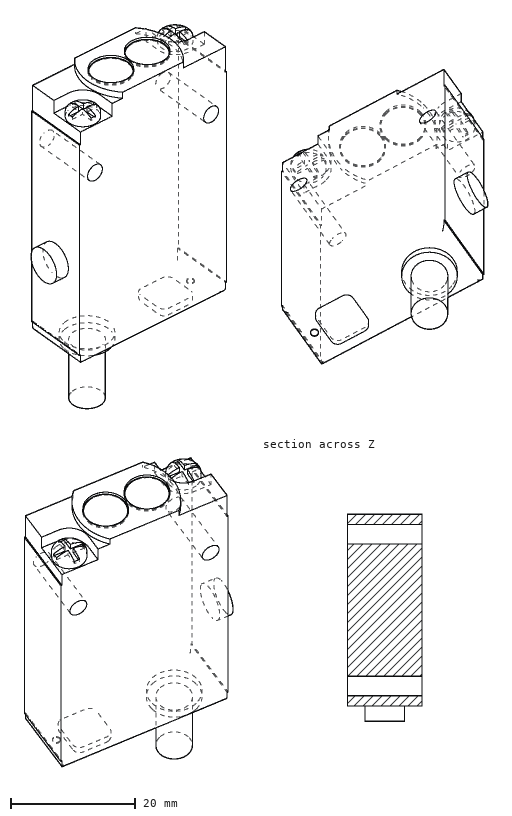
import cadquery as cq

TOTAL_HEIGHT = 63.4
WINDOW_RAISE = 1.2
SHOULDER_Z = TOTAL_HEIGHT - WINDOW_RAISE
COVER_SEAM_Z = 57.1
BASE_SEAM_Z = 15.0
BODY_BOTTOM_Z = 13.1

BODY_WIDTH = 12.0
SLEEVE_LENGTH = 30.8
SLEEVE_STEP = 0.2
CORE_LENGTH = SLEEVE_LENGTH - 2 * SLEEVE_STEP
BASE_FILLET = 0.75

WINDOW_DIAMETER = 17.5
LENS_DIAMETER = 7.35
LENS_SPACING = 7.6
LENS_DEPTH = 0.3
LENS_GAP = 0.1
LENS_GAP_DEPTH = 0.2

FIXING_HOLE_DIAMETER = 3.1
FIXING_HOLE_SPACING = 24.35
FIXING_HOLE_Z = 50.1

SCREW_X = 3.0
SCREW_Y = 12.2
POCKET_SIZE = 6.65
POCKET_DEPTH = 2.55
POCKET_FLOOR_Z = SHOULDER_Z - POCKET_DEPTH
POCKET_CORNER_RADIUS = 3.55
HEAD_RADIUS = 2.85
HEAD_HEIGHT = 2.0
HEAD_RIM_HEIGHT = 1.2
HEAD_RIM_FILLET = 0.5
SLOT_WIDTH = 0.95
SLOT_DEPTH = 1.15
SLOT_LENGTH = 5.2

BUTTON_DIAMETER = 6.4
BUTTON_Z = 30.8
BUTTON_LENGTH = 2.5

CABLE_Y = -8.8
CABLE_DIAMETER = 5.9
GLAND_DIAMETER = 8.95
GLAND_HEIGHT = 1.4
PLUG_Y = 7.7
PLUG_SIZE = 6.9
PLUG_HEIGHT = 1.8
PLUG_CORNER_RADIUS = 1.25
PLUG_EDGE_FILLET = 0.8
STUD_Y = 12.85
STUD_DIAMETER = 1.25
STUD_HEIGHT = 0.2

SCREW_CORNERS = [(-1, 1), (1, -1)]


def slab(length, bottom, top):
    """Full-width rectangular block between two heights."""
    return (
        cq.Workplane("XY", origin=(0, 0, bottom))
        .rect(BODY_WIDTH, length)
        .extrude(top - bottom)
    )


def hanging_cylinder(y, diameter, height):
    """Cylinder hanging down from the underside of the housing."""
    return (
        cq.Workplane("XY", origin=(0, y, BODY_BOTTOM_Z))
        .circle(diameter / 2)
        .extrude(-height)
    )


def make_case():
    """Rounded core with a slightly longer sleeve around its middle."""
    core = slab(CORE_LENGTH, BODY_BOTTOM_Z, SHOULDER_Z).faces("<Z").edges().fillet(BASE_FILLET)
    return core.union(slab(SLEEVE_LENGTH, BASE_SEAM_Z, COVER_SEAM_Z))


def make_pocket(x_sign, y_sign):
    """Corner pocket, open on two sides, with its inner corner rounded."""
    center_x = x_sign * (BODY_WIDTH - POCKET_SIZE) / 2
    center_y = y_sign * (CORE_LENGTH - POCKET_SIZE) / 2
    inner_corner = cq.selectors.NearestToPointSelector((0, 0, POCKET_FLOOR_Z + POCKET_DEPTH / 2))
    return (
        cq.Workplane("XY", origin=(center_x, center_y, POCKET_FLOOR_Z))
        .rect(POCKET_SIZE, POCKET_SIZE)
        .extrude(POCKET_DEPTH)
        .edges("|Z")
        .edges(inner_corner)
        .fillet(POCKET_CORNER_RADIUS)
    )


def make_window():
    """Round raised window trimmed to the housing width, with two lenses sunk below its top."""
    window = (
        cq.Workplane("XY", origin=(0, 0, SHOULDER_Z))
        .circle(WINDOW_DIAMETER / 2)
        .extrude(WINDOW_RAISE)
        .intersect(slab(SLEEVE_LENGTH, SHOULDER_Z, TOTAL_HEIGHT))
    )
    for y_sign in (-1, 1):
        lens_y = y_sign * LENS_SPACING / 2
        recess = (
            cq.Workplane("XY", origin=(0, lens_y, TOTAL_HEIGHT))
            .circle(LENS_DIAMETER / 2)
            .extrude(-LENS_DEPTH)
        )
        gap = (
            cq.Workplane("XY", origin=(0, lens_y, TOTAL_HEIGHT - LENS_DEPTH))
            .circle(LENS_DIAMETER / 2)
            .circle(LENS_DIAMETER / 2 - LENS_GAP)
            .extrude(-LENS_GAP_DEPTH)
        )
        window = window.cut(recess).cut(gap)
    return window


def make_fixing_holes():
    """Pair of holes running through the housing along X."""
    return (
        cq.Workplane("YZ", origin=(0, 0, FIXING_HOLE_Z))
        .pushPoints([(-FIXING_HOLE_SPACING / 2, 0), (FIXING_HOLE_SPACING / 2, 0)])
        .circle(FIXING_HOLE_DIAMETER / 2)
        .extrude(BODY_WIDTH, both=True)
    )


def make_button():
    """Round button standing out of the front (-Y) face."""
    return (
        cq.Workplane("XZ", origin=(0, -SLEEVE_LENGTH / 2, BUTTON_Z))
        .circle(BUTTON_DIAMETER / 2)
        .extrude(BUTTON_LENGTH)
    )


def make_plug():
    """Rounded square block on the underside."""
    return (
        cq.Workplane("XY", origin=(0, PLUG_Y, BODY_BOTTOM_Z))
        .rect(PLUG_SIZE, PLUG_SIZE)
        .extrude(-PLUG_HEIGHT)
        .edges("|Z")
        .fillet(PLUG_CORNER_RADIUS)
        .faces("<Z")
        .edges()
        .fillet(PLUG_EDGE_FILLET)
    )


def make_housing():
    """Case with its window, button, cable and underside details."""
    housing = make_case()
    for x_sign, y_sign in SCREW_CORNERS:
        housing = housing.cut(make_pocket(x_sign, y_sign))
    return (
        housing.union(make_window())
        .cut(make_fixing_holes())
        .union(make_button())
        .union(hanging_cylinder(CABLE_Y, GLAND_DIAMETER, GLAND_HEIGHT))
        .union(hanging_cylinder(CABLE_Y, CABLE_DIAMETER, BODY_BOTTOM_Z))
        .union(make_plug())
        .union(hanging_cylinder(STUD_Y, STUD_DIAMETER, STUD_HEIGHT))
    )


def slot_arm(x_size, y_size):
    """One arm of the cross slot, cut down from the height of the dome's crown."""
    return (
        cq.Workplane("XY", origin=(0, 0, HEAD_HEIGHT))
        .rect(x_size, y_size)
        .extrude(-SLOT_DEPTH)
    )


def make_screw(x, y):
    """Domed screw head with a closed-ended cross slot, resting on its pocket floor."""
    dome_rise = HEAD_HEIGHT - HEAD_RIM_HEIGHT
    dome_radius = (HEAD_RADIUS**2 + dome_rise**2) / (2 * dome_rise)
    dome = cq.Workplane("XY", origin=(0, 0, HEAD_HEIGHT - dome_radius)).sphere(dome_radius)
    head = (
        cq.Workplane("XY")
        .circle(HEAD_RADIUS)
        .extrude(HEAD_HEIGHT)
        .intersect(dome)
        .faces("%CYLINDER")
        .edges(">Z")
        .fillet(HEAD_RIM_FILLET)
    )
    cross_slot = slot_arm(SLOT_LENGTH, SLOT_WIDTH).union(slot_arm(SLOT_WIDTH, SLOT_LENGTH))
    return head.cut(cross_slot).translate((x, y, POCKET_FLOOR_Z))


housing = make_housing()
screws = [make_screw(x_sign * SCREW_X, y_sign * SCREW_Y) for x_sign, y_sign in SCREW_CORNERS]

result = cq.Compound.makeCompound([housing.val(), *[screw.val() for screw in screws]])